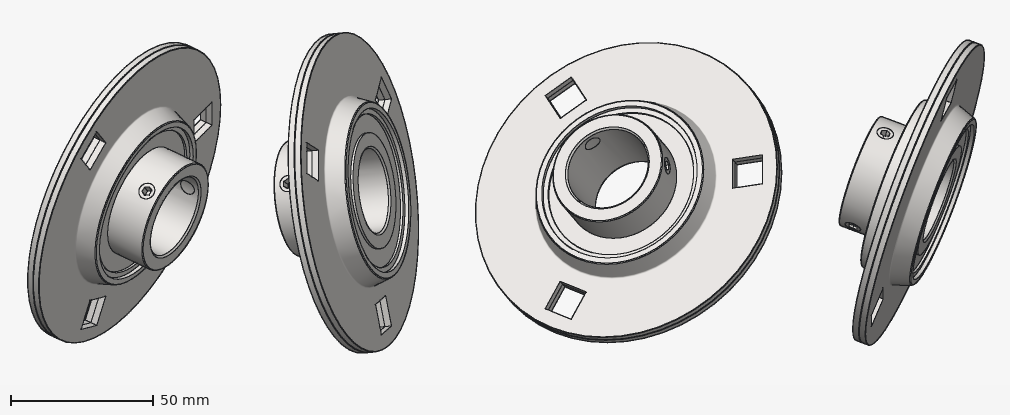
import cadquery as cq
import math


flange_diameter = 113.0
plate_thickness = 2.5
lip_reach = 9.5
lip_root_radius = 33.8
lip_end_radius = 31.4
lip_root_fillet = 0.6
lip_edge_chamfer = 0.3
rim_chamfer = 0.17

bolt_hole_count = 3
bolt_hole_side = 11.2
bolt_circle_radius = 45.3

seat_radius = 30.2
ring_half_width = 8.0
ring_inner_radius = 27.2
seal_depth = 0.9
collar_radius = 20.6
collar_end = 22.0
collar_chamfer = 0.3
bore_radius = 15.0
bore_chamfer = 0.7

screw_diameter = 5.9
screw_offset = 16.7
screw_angles = (0.0, 120.0)
socket_sides = 6
socket_width = 3.0
socket_depth = 3.8
screw_recess = 0.1

seat_end_radius = math.sqrt(seat_radius**2 - ring_half_width**2)
seat_middle = ring_half_width / 2
seat_middle_radius = math.sqrt(seat_radius**2 - seat_middle**2)
screw_outer_end = collar_radius - screw_recess


def revolved(profile):
    """Turn a profile drawn as (x, radius) about the X axis."""
    return profile.close().revolve(360, (0, 0, 0), (1, 0, 0))


def bolt_holes():
    """Square cutters through one plate, evenly spaced from +Y."""
    return (
        cq.Workplane("YZ")
        .polarArray(bolt_circle_radius, 0, 360, bolt_hole_count)
        .rect(bolt_hole_side, bolt_hole_side)
        .extrude(plate_thickness)
    )


def make_flange_plate():
    """Plate on the +X side of the joint, with a conical lip around the spherical seat."""
    rim_radius = flange_diameter / 2
    profile = (
        cq.Workplane("XY")
        .moveTo(0, seat_radius)
        .lineTo(0, rim_radius - rim_chamfer)
        .lineTo(rim_chamfer, rim_radius)
        .lineTo(plate_thickness - rim_chamfer, rim_radius)
        .lineTo(plate_thickness, rim_radius - rim_chamfer)
        .lineTo(plate_thickness, lip_root_radius)
        .lineTo(lip_reach - lip_edge_chamfer, lip_end_radius)
        .lineTo(lip_reach, lip_end_radius - lip_edge_chamfer)
        .lineTo(lip_reach, seat_end_radius)
        .lineTo(ring_half_width, seat_end_radius)
        .threePointArc((seat_middle, seat_middle_radius), (0, seat_radius))
    )
    circles = revolved(profile).edges("%CIRCLE")
    lip_root = circles.filter(lambda edge: math.isclose(edge.radius(), lip_root_radius))
    return lip_root.fillet(lip_root_fillet).cut(bolt_holes())


def along_screw(body, angle):
    """Move a body built along +Y at the collar onto one of the screw axes."""
    return body.rotate((0, 0, 0), (1, 0, 0), angle).translate((screw_offset, 0, 0))


def make_bearing():
    """Outer ring, seals, inner ring and collar as one body, with the two screw holes."""
    seal_face = ring_half_width - seal_depth
    profile = (
        cq.Workplane("XY")
        .moveTo(-ring_half_width, bore_radius + bore_chamfer)
        .lineTo(-ring_half_width, collar_radius)
        .lineTo(-seal_face, collar_radius)
        .lineTo(-seal_face, ring_inner_radius)
        .lineTo(-ring_half_width, ring_inner_radius)
        .lineTo(-ring_half_width, seat_end_radius)
        .threePointArc((0, seat_radius), (ring_half_width, seat_end_radius))
        .lineTo(ring_half_width, ring_inner_radius)
        .lineTo(seal_face, ring_inner_radius)
        .lineTo(seal_face, collar_radius)
        .lineTo(collar_end - collar_chamfer, collar_radius)
        .lineTo(collar_end, collar_radius - collar_chamfer)
        .lineTo(collar_end, bore_radius + bore_chamfer)
        .lineTo(collar_end - bore_chamfer, bore_radius)
        .lineTo(-ring_half_width + bore_chamfer, bore_radius)
    )
    bearing = revolved(profile)
    hole = cq.Workplane("XZ").circle(screw_diameter / 2).extrude(-flange_diameter / 2)
    for angle in screw_angles:
        bearing = bearing.cut(along_screw(hole, angle))
    return bearing


def make_set_screw():
    """Headless screw along +Y from the bore to the collar, with a hexagon socket.

    Two corners of the socket point along the circumference of the collar.
    """
    socket_corners = socket_width / math.cos(math.pi / socket_sides)
    socket_floor = screw_outer_end - socket_depth
    socket = (
        cq.Workplane("XZ", origin=(0, socket_floor, 0))
        .polygon(socket_sides, socket_corners)
        .extrude(-2 * socket_depth)
        .rotate((0, 0, 0), (0, 1, 0), 180 / socket_sides)
    )
    blank = cq.Workplane("XZ").circle(screw_diameter / 2).extrude(-screw_outer_end)
    bore = cq.Workplane("YZ").circle(bore_radius).extrude(screw_diameter, both=True)
    return blank.cut(bore).cut(socket)


flange_plate = make_flange_plate()
flange_plates = [flange_plate, flange_plate.mirror("YZ")]
bearing = make_bearing()
set_screws = [along_screw(make_set_screw(), angle) for angle in screw_angles]

result = cq.Compound.makeCompound([
    *[plate.val() for plate in flange_plates],
    bearing.val(),
    *[screw.val() for screw in set_screws],
])